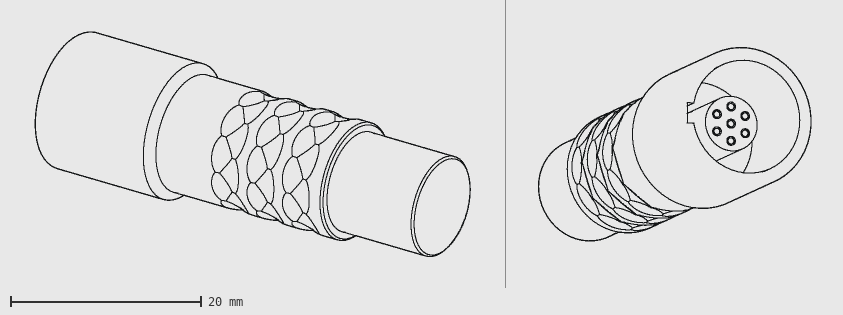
import cadquery as cq

total_length = 47.0
sleeve_diameter = 14.9
sleeve_radius = sleeve_diameter / 2
sleeve_length = 14.0
mouth_fillet = 0.45
shoulder_end = 14.9
body_diameter = 12.85
body_radius = body_diameter / 2
body_end = 36.05
body_edge_chamfer = 0.25
tail_radius = 5.45
tail_edge_chamfer = 0.25

bore_radius = 6.0
bore_depth = sleeve_length
insert_radius = 2.9
insert_face = 4.4
insert_height = bore_depth - insert_face

key_width = 2.15
key_reach = 6.65
key_length = 11.75

contact_ring_count = 6
first_contact_angle = 90
contact_circle_radius = 1.85
contact_radius = 0.45
contact_recess = 0.1
contact_hole_radius = 0.35
contact_hole_depth = 2.35

scallops_per_row = 10
scallop_depth = 0.4
scallop_half_width = 1.3
scallop_radius = (scallop_half_width**2 + scallop_depth**2) / (2 * scallop_depth)
scallop_step = 360 / scallops_per_row
band_count = 3
band_pitch = 4.5
first_row_x = 23.15
row_spacing = 0.95
cutter_length = body_radius


def make_body():
    """Turned outside: sleeve, conical shoulder, grip body and tail."""
    profile = (
        cq.Workplane("XY")
        .moveTo(0, 0)
        .lineTo(0, sleeve_radius - mouth_fillet)
        .radiusArc((mouth_fillet, sleeve_radius), mouth_fillet)
        .lineTo(sleeve_length, sleeve_radius)
        .lineTo(shoulder_end, body_radius)
        .lineTo(body_end - body_edge_chamfer, body_radius)
        .lineTo(body_end, body_radius - body_edge_chamfer)
        .lineTo(body_end, tail_radius)
        .lineTo(total_length - tail_edge_chamfer, tail_radius)
        .lineTo(total_length, tail_radius - tail_edge_chamfer)
        .lineTo(total_length, 0)
        .close()
    )
    return profile.revolve(360, (0, 0, 0), (1, 0, 0))


def rod(start_x, radius, length):
    """Cylinder about the X axis."""
    return cq.Workplane("YZ", origin=(start_x, 0, 0)).circle(radius).extrude(length)


def make_key_slot():
    """Rectangular keyway running in from the mouth."""
    return cq.Workplane("XY").box(key_length, key_reach, key_width, centered=(False, False, True))


def make_contacts(start_x, radius, depth):
    """Cylinders at all contact positions, running in +X."""
    ring = (
        cq.Workplane("YZ", origin=(start_x, 0, 0))
        .polarArray(contact_circle_radius, first_contact_angle, 360, contact_ring_count)
        .circle(radius)
        .extrude(depth)
    )
    return ring.union(rod(start_x, radius, depth))


def cut_scallop_row(body, row_x, first_angle):
    """Cut one row with a ring of tangential cylinders, leaving shallow hollows."""
    axis_height = body_radius - scallop_depth + scallop_radius
    cutter = (
        cq.Workplane("XZ", origin=(row_x, cutter_length / 2, axis_height))
        .circle(scallop_radius)
        .extrude(cutter_length)
    )
    for index in range(scallops_per_row):
        angle = first_angle + index * scallop_step
        body = body.cut(cutter.rotate((0, 0, 0), (1, 0, 0), angle))
    return body


body = make_body()

socket = rod(0, bore_radius, bore_depth).union(make_key_slot())
body = body.cut(socket).union(rod(insert_face, insert_radius, insert_height))

body = body.cut(make_contacts(insert_face, contact_radius, contact_recess))
body = body.cut(make_contacts(insert_face, contact_hole_radius, contact_hole_depth))

for band in range(band_count):
    band_x = first_row_x + band * band_pitch
    body = cut_scallop_row(body, band_x, 0)
    body = cut_scallop_row(body, band_x + row_spacing, scallop_step / 2)

result = body